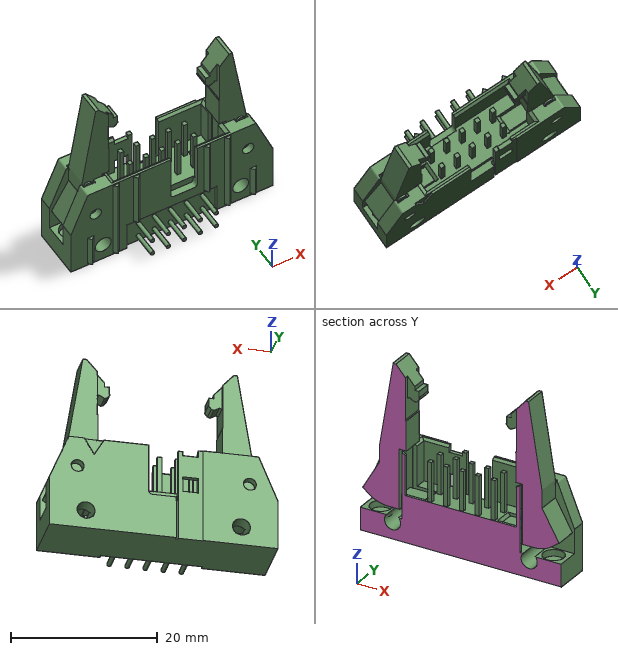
import cadquery as cq
import math

body_length = 32.0
body_depth = 7.95
body_height = 13.9
half_length = body_length / 2
front_y = -body_depth / 2
back_y = body_depth / 2
shoulder_height = 7.35
shoulder_x = 13.3
shoulder_radius = 0.32
over = 1.6

cavity_length = 17.63
cavity_depth = 6.4
floor_z = 7.35
rim_run_x = 0.55
rim_run_y = 0.4
rim_drop = 0.32

notch_width = 4.15
notch_bottom_z = 6.3
notch_radius = 0.48
notch_inner_y = 2.88
front_notch_x = 1.92
back_notch_x = 0.0

pocket_width = 3.6
pocket_inner_x = 9.45
pocket_floor_z = 3.6
throat_width = 2.8
ramp_start_x = 8.13
ramp_end_x = 5.7
well_x = 13.75
well_radius = 1.6
well_depth = 1.02

mount_x = 10.88
mount_z = 2.75
mount_radius = 1.25
pivot_x = 12.05
pivot_z = 9.5
pivot_radius = 0.9
pivot_depth = 1.1

latch_height = 27.3
latch_inner_x = 8.8
latch_tip_x = 10.3
nose_x = 7.65
nose_z = 24.3
lever_outer_x = 12.95
lever_inner_x = 9.8
overhang_x = 8.7
overhang_z = 14.2
lever_bottom_z = 4.9
hook_top_z = 23.7
hook_root_z = 22.2
toe_top_z = 7.05
toe_bottom_z = 4.7
toe_root_x = 10.25
hook_width = 2.35
detent_reach = 0.3
detent_radius = 0.65
detent_top_z = 13.95
trough_reach = 0.55
trough_radius = 0.9

pin_pitch = 2.53
pin_columns = 5
pin_size = 0.65
pin_top_z = 13.5
pin_tail_y = -7.35
tail_z = (0.95, 0.95 + pin_pitch)
tail_recess_width = 14.25
tail_recess_height = 4.6
tail_recess_depth = 0.5

rib_width = 1.02
rib_reach = 0.55
rib_low_z = 0.32
rib_high_z = 13.7
ribs = (
    (5.6, 4.8, rib_high_z),
    (8.83, rib_low_z, rib_high_z),
    (12.9, rib_low_z, 5.35),
)

arrow_x = 9.73
arrow_width = 2.72
arrow_height = arrow_width * math.sqrt(3) / 2
arrow_depth = 0.25
relief_left_x = -5.5
relief_depth = 0.13
groove_width = 0.32
groove_depth = 0.4
low_wall_left_x = -4.85
low_wall_right_x = -2.72
low_wall_z = 12.9
post_top_z = 13.5
window_top_z = 9.6
step_width = 0.32
step_depth = 0.32


def box(x_min, x_max, y_min, y_max, z_min, z_max):
    size = (x_max - x_min, y_max - y_min, z_max - z_min)
    return cq.Workplane("XY").box(*size, centered=False).translate((x_min, y_min, z_min))


def slab(outline, width):
    """Extrude a closed XZ outline to a width centred on Y = 0."""
    return outline.extrude(width / 2, both=True)


def y_cylinder(x, z, radius, y_min, y_max):
    profile = cq.Workplane("XZ", origin=(0, y_min, 0)).center(x, z).circle(radius)
    return profile.extrude(y_min - y_max)


def both_ends(shape):
    """The given left-hand shape together with its mirror image."""
    return shape.union(shape.mirror("YZ"))


def make_body():
    outline = cq.Workplane("XZ").polyline([
        (-half_length, 0),
        (half_length, 0),
        (half_length, shoulder_height),
        (shoulder_x, body_height),
        (-shoulder_x, body_height),
        (-half_length, shoulder_height),
    ]).close()
    block = slab(outline, body_depth)
    for side in (-1, 1):
        corner = cq.selectors.NearestToPointSelector((side * shoulder_x, 0, body_height))
        block = block.edges("|Y").edges(corner).fillet(shoulder_radius)
    return block


def cavity():
    well = box(-cavity_length / 2, cavity_length / 2, -cavity_depth / 2, cavity_depth / 2,
               floor_z, body_height + over)
    rim = (
        cq.Workplane("XY", origin=(0, 0, body_height))
        .rect(cavity_length + 2 * rim_run_x, cavity_depth + 2 * rim_run_y)
        .workplane(offset=-rim_drop)
        .rect(cavity_length, cavity_depth)
        .loft()
    )
    return well.union(rim)


def wall_notch(center_x, side):
    """Round-cornered notch through the front (side -1) or back (side 1) wall."""
    y_ends = sorted((side * notch_inner_y, side * (back_y + over)))
    cutter = box(center_x - notch_width / 2, center_x + notch_width / 2, *y_ends,
                 notch_bottom_z, body_height + over)
    return cutter.edges("|Y and <Z").fillet(notch_radius)


def latch_pocket():
    """Left-hand pocket: open slot, throat, ramp up to the cavity floor and round well."""
    slot = box(-half_length - over, -pocket_inner_x, -pocket_width / 2, pocket_width / 2,
               pocket_floor_z, body_height + over)
    throat = box(-pocket_inner_x, -ramp_start_x, -throat_width / 2, throat_width / 2,
                 pocket_floor_z, body_height + over)
    ramp = slab(cq.Workplane("XZ").polyline([
        (-ramp_start_x, pocket_floor_z),
        (-ramp_end_x, floor_z),
        (-ramp_start_x, floor_z),
    ]).close(), throat_width)
    well = (
        cq.Workplane("XY", origin=(-well_x, 0, pocket_floor_z - well_depth))
        .circle(well_radius)
        .extrude(well_depth)
    )
    trough_half = pocket_width / 2 + trough_reach
    trough = y_cylinder(-pivot_x, body_height, trough_radius, -trough_half, trough_half)
    return slot.union(throat).union(ramp).union(well).union(trough)


def end_holes():
    """Left-hand through mounting hole and the blind pivot holes in both long faces."""
    mount = y_cylinder(-mount_x, mount_z, mount_radius, front_y - over, back_y + over)
    front_pivot = y_cylinder(-pivot_x, pivot_z, pivot_radius, front_y - over, front_y + pivot_depth)
    back_pivot = y_cylinder(-pivot_x, pivot_z, pivot_radius, back_y - pivot_depth, back_y + over)
    return mount.union(front_pivot).union(back_pivot)


def tail_recess():
    return box(-tail_recess_width / 2, tail_recess_width / 2,
               front_y - over, front_y + tail_recess_depth, -over, tail_recess_height)


def arrow_mark():
    """Triangle pointing down from the top edge of the back face."""
    profile = cq.Workplane("XZ", origin=(0, back_y, 0)).polyline([
        (arrow_x - arrow_width / 2, body_height),
        (arrow_x + arrow_width / 2, body_height),
        (arrow_x, body_height - arrow_height),
    ]).close()
    return profile.extrude(arrow_depth)


def back_wall_relief():
    """Thinned, lowered and pierced stretch of the back wall beside its notch."""
    notch_edge_x = back_notch_x - notch_width / 2
    thinning = box(relief_left_x, notch_edge_x, back_y - relief_depth, back_y + over,
                   -over, body_height + over)
    groove = box(notch_edge_x, notch_edge_x + groove_width, back_y - groove_depth, back_y + over,
                 -over, body_height + over)
    step_back_y = back_y - groove_depth
    step = box(notch_edge_x, notch_edge_x + groove_width, step_back_y - step_width, step_back_y,
               notch_bottom_z - step_depth, body_height + over)
    low_wall = box(low_wall_left_x, low_wall_right_x, cavity_depth / 2, back_y + over,
                   low_wall_z, body_height + over)
    post_top = box(low_wall_right_x, notch_edge_x, cavity_depth / 2, back_y + over,
                   post_top_z, body_height + over)
    window = box(low_wall_left_x, low_wall_right_x, cavity_depth / 2, back_y + over,
                 floor_z, window_top_z)
    return thinning.union(groove).union(step).union(low_wall).union(post_top).union(window)


def rib(x, z_min, z_max):
    profile = cq.Workplane("XY", origin=(x, front_y, z_min)).polyline([
        (-rib_width / 2, 0),
        (0, -rib_reach),
        (rib_width / 2, 0),
    ]).close()
    return profile.extrude(z_max - z_min)


def latch():
    """Left-hand latch: lever, hook nose, ejector toe and detent bumps."""
    nose_slope = (latch_height - nose_z) / (latch_tip_x - nose_x)
    slope_z = latch_height - nose_slope * (latch_tip_x - latch_inner_x)
    lever = slab(
        cq.Workplane("XZ")
        .moveTo(-10.8, latch_height)
        .lineTo(-latch_tip_x, latch_height)
        .lineTo(-latch_inner_x, slope_z)
        .lineTo(-latch_inner_x, 19.05)
        .lineTo(-overhang_x, 18.88)
        .lineTo(-overhang_x, overhang_z)
        .lineTo(-lever_inner_x, overhang_z)
        .lineTo(-lever_inner_x, lever_bottom_z)
        .lineTo(-11.52, lever_bottom_z)
        .threePointArc((-12.85, 5.05), (-14.08, 5.55))
        .lineTo(-15.68, 6.72)
        .lineTo(-lever_outer_x, 11.42)
        .lineTo(-lever_outer_x, 14.18)
        .close(),
        pocket_width,
    )
    hook = slab(cq.Workplane("XZ").polyline([
        (-latch_tip_x, latch_height),
        (-nose_x, nose_z),
        (-nose_x, hook_top_z),
        (-6.98, hook_top_z),
        (-6.98, 22.72),
        (-6.88, 22.53),
        (-7.3, 22.0),
        (-nose_x, 21.9),
        (-8.45, 22.35),
        (-latch_inner_x, hook_root_z),
        (-latch_tip_x, hook_root_z),
    ]).close(), hook_width)
    toe = slab(cq.Workplane("XZ").polyline([
        (-toe_root_x, toe_top_z),
        (-6.18, toe_top_z),
        (-7.55, toe_bottom_z),
        (-toe_root_x, toe_bottom_z),
    ]).close(), hook_width)
    detent_half = pocket_width / 2 + detent_reach
    detent = y_cylinder(-pivot_x, detent_top_z - detent_radius, detent_radius,
                        -detent_half, detent_half)
    return lever.union(hook).union(toe).union(detent)


def contacts():
    """Two rows of square pins and their round tails."""
    pins = cq.Workplane("XY")
    for column in range(pin_columns):
        x = (column - (pin_columns - 1) / 2) * pin_pitch
        for row_y, row_tail_z in zip((-pin_pitch / 2, pin_pitch / 2), tail_z):
            post = (
                cq.Workplane("XY", origin=(x, row_y, tail_z[0]))
                .rect(pin_size, pin_size)
                .extrude(pin_top_z - tail_z[0])
            )
            tail = y_cylinder(x, row_tail_z, pin_size / 2, pin_tail_y, row_y)
            pins = pins.add(post).add(tail)
    return pins.combine()


result = make_body()
for cutter in (
    cavity(),
    wall_notch(front_notch_x, -1),
    wall_notch(back_notch_x, 1),
    both_ends(latch_pocket()),
    both_ends(end_holes()),
    tail_recess(),
    arrow_mark(),
    back_wall_relief(),
):
    result = result.cut(cutter)

for distance, rib_bottom, rib_top in ribs:
    result = result.union(both_ends(rib(-distance, rib_bottom, rib_top)))

result = result.union(both_ends(latch())).union(contacts())